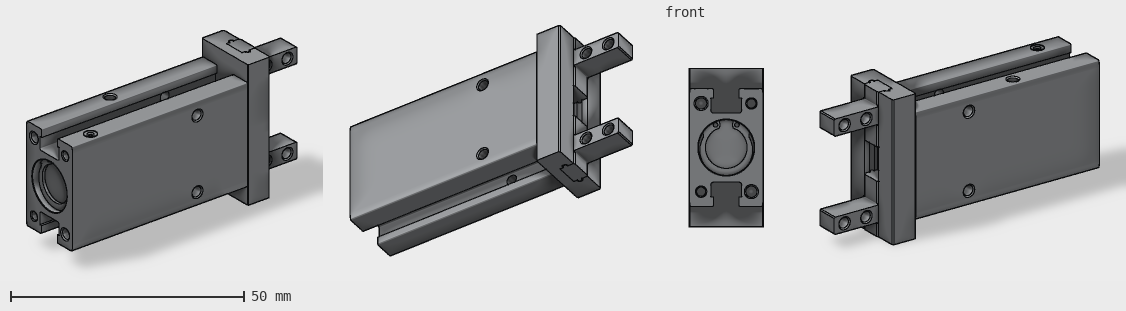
import cadquery as cq
import math

TOTAL_LENGTH = 65.75
BODY_WIDTH = 16.0
GUIDE_HEIGHT = 34.0
HOUSING_LENGTH = 48.1
HOUSING_HEIGHT = 25.3

SIDE_CURVE_START = 11.05
SIDE_CURVE_RADIUS = 4.3
CORNER_RADIUS = 0.4
SLOT_NECK_WIDTH = 5.4
SLOT_WIDTH = 6.6
SLOT_NECK_BOTTOM = 10.65
SLOT_FLOOR = 7.4
SLOT_FLOOR_RADIUS = 0.5

THREAD_MOUTH = 3.0
THREAD_BORE = 2.45
SMALL_MOUTH = 2.45
SMALL_BORE = 2.0
CORNER_HOLE_X = 5.4
CORNER_HOLE_Z = 9.5
CORNER_HOLE_DEPTH = 5.25
SIDE_HOLE_Y = 34.2
SIDE_HOLE_Z = 9.3
PORT_X = 5.4
PORT_Y = 20.9
PORT_DEPTH = 3.95

SCREW_Y = 7.0
SCREW_RECESS = 0.1
SOCKET_MOUTH = 1.6
SOCKET_FLATS = 0.8
SOCKET_CONE_DEPTH = 0.25
SOCKET_DEPTH = 1.3

BORE_MOUTH = 12.2
BORE_DIAMETER = 12.0
BORE_DEPTH = 2.3
RING_THICKNESS = 0.7
RING_INNER_RADIUS = 4.5
RING_RELIEF_RADIUS = 5.65
RING_RELIEF_OFFSET = 0.6
RING_RELIEF_TOP = 2.95
RING_SHOULDER_X = 4.85
RING_GAP = 2.9
LUG_X = 2.3
LUG_Z = 4.85
LUG_RADIUS = 1.0
LUG_HOLE = 1.0

GUIDE_FRONT = 54.1
GUIDE_FRONT_CHAMFER = 0.3
GUIDE_REAR_CHAMFER = 0.2

FINGER_WIDTH = 5.4
FINGER_HEIGHT = 4.1
FINGER_Z = 11.5
CARRIAGE_REAR = 50.65
CARRIAGE_FRONT = 54.3
CARRIAGE_BOTTOM = 4.0
CARRIAGE_BEVEL_X = 0.5
CARRIAGE_BEVEL_Y = CARRIAGE_FRONT - GUIDE_FRONT
TIP_CHAMFER = 0.25
ROOT_FILLET = 0.25
RACE_X = 2.75
RACE_Y = 52.1
RAIL_DIAMETER = 1.0
RACE_DIAMETER = 1.4
FINGER_HOLES_Y = (57.35, 63.05)


def countersunk_hole(start, direction, length, bore, mouth):
    """Drill with a 45 degree countersink at its mouth."""
    origin = cq.Vector(*start)
    axis = cq.Vector(*direction)
    drill = cq.Solid.makeCylinder(bore / 2, length, origin, axis)
    sink_depth = (mouth - bore) / 2
    sink = cq.Solid.makeCone(mouth / 2, bore / 2, sink_depth, origin, axis)
    return drill.fuse(sink)


def through_hole_along_x(y, z, width):
    """Threaded hole right across a width, countersunk at both ends."""
    near = countersunk_hole((-width / 2, y, z), (1, 0, 0), width, THREAD_BORE, THREAD_MOUTH)
    far = countersunk_hole((width / 2, y, z), (-1, 0, 0), width, THREAD_BORE, THREAD_MOUTH)
    return near.fuse(far)


def housing_profile():
    """Extruded profile with a T-slot above and below, mirrored from one quarter."""
    half_width = BODY_WIDTH / 2
    half_height = HOUSING_HEIGHT / 2
    half_neck = SLOT_NECK_WIDTH / 2
    half_slot = SLOT_WIDTH / 2
    curve_top = half_height - CORNER_RADIUS
    curve_rise = curve_top - SIDE_CURVE_START
    curve_inset = SIDE_CURVE_RADIUS - math.sqrt(SIDE_CURVE_RADIUS**2 - curve_rise**2)
    curve_x = half_width - curve_inset
    quarter = (
        cq.Workplane("XZ")
        .lineTo(half_width, 0)
        .lineTo(half_width, SIDE_CURVE_START)
        .radiusArc((curve_x, curve_top), -SIDE_CURVE_RADIUS)
        .radiusArc((curve_x - CORNER_RADIUS, half_height), -CORNER_RADIUS)
        .lineTo(half_neck + CORNER_RADIUS, half_height)
        .radiusArc((half_neck, curve_top), -CORNER_RADIUS)
        .lineTo(half_neck, SLOT_NECK_BOTTOM)
        .lineTo(half_slot, SLOT_NECK_BOTTOM)
        .lineTo(half_slot, SLOT_FLOOR + SLOT_FLOOR_RADIUS)
        .radiusArc((half_slot - SLOT_FLOOR_RADIUS, SLOT_FLOOR), SLOT_FLOOR_RADIUS)
        .lineTo(0, SLOT_FLOOR)
        .close()
        .extrude(-HOUSING_LENGTH)
    )
    half = quarter.union(quarter.mirror("YZ"))
    return half.union(half.mirror("XY")).clean()


def retaining_ring():
    """Internal circlip lying on the bore floor, with two eyed lugs at the top."""
    bore_radius = BORE_DIAMETER / 2
    plane = cq.Workplane("XZ", origin=(0, BORE_DEPTH, 0))
    full_disc = plane.circle(bore_radius).extrude(RING_THICKNESS)
    relieved_disc = plane.center(0, -RING_RELIEF_OFFSET).circle(RING_RELIEF_RADIUS).extrude(RING_THICKNESS)
    upper_block = (
        plane.center(0, RING_RELIEF_TOP + bore_radius)
        .rect(2 * BORE_DIAMETER, 2 * bore_radius)
        .extrude(RING_THICKNESS)
    )
    shoulders = (
        plane.center(0, RING_RELIEF_TOP / 2)
        .rect(2 * RING_SHOULDER_X, RING_RELIEF_TOP)
        .extrude(RING_THICKNESS)
    )
    gap = plane.center(0, bore_radius).rect(RING_GAP, BORE_DIAMETER).extrude(RING_THICKNESS)
    opening = plane.circle(RING_INNER_RADIUS).extrude(RING_THICKNESS)
    lug_centres = [(-LUG_X, LUG_Z), (LUG_X, LUG_Z)]
    lugs = plane.pushPoints(lug_centres).circle(LUG_RADIUS).extrude(RING_THICKNESS)
    eyes = plane.pushPoints(lug_centres).circle(LUG_HOLE / 2).extrude(RING_THICKNESS)
    band = relieved_disc.union(upper_block).union(shoulders).cut(opening).cut(gap)
    return band.union(lugs).cut(eyes).intersect(full_disc)


def plug_screw_cut():
    """Shallow round recess with a countersunk hexagon socket in its middle."""
    top = HOUSING_HEIGHT / 2
    face = top - SCREW_RECESS
    recess = cq.Workplane("XY", origin=(PORT_X, SCREW_Y, face)).circle(THREAD_MOUTH / 2).extrude(SCREW_RECESS)
    socket_corners = SOCKET_FLATS / math.cos(math.pi / 6)
    socket = (
        cq.Workplane("XY", origin=(PORT_X, SCREW_Y, face))
        .polygon(6, socket_corners)
        .extrude(-SOCKET_DEPTH)
    )
    cone = cq.Solid.makeCone(
        SOCKET_MOUTH / 2,
        SOCKET_FLATS / 2,
        SOCKET_CONE_DEPTH,
        cq.Vector(PORT_X, SCREW_Y, face),
        cq.Vector(0, 0, -1),
    )
    return recess.union(socket).union(cq.Workplane(cone))


def make_housing():
    housing = housing_profile()

    bore = countersunk_hole((0, 0, 0), (0, 1, 0), BORE_DEPTH, BORE_DIAMETER, BORE_MOUTH)
    housing = housing.cut(cq.Workplane(bore)).union(retaining_ring())

    for side_x in (-1, 1):
        for side_z in (-1, 1):
            large = side_x != side_z
            drill = THREAD_BORE if large else SMALL_BORE
            mouth = THREAD_MOUTH if large else SMALL_MOUTH
            start = (side_x * CORNER_HOLE_X, 0, side_z * CORNER_HOLE_Z)
            hole = countersunk_hole(start, (0, 1, 0), CORNER_HOLE_DEPTH, drill, mouth)
            housing = housing.cut(cq.Workplane(hole))

    for side_z in (-1, 1):
        hole = through_hole_along_x(SIDE_HOLE_Y, side_z * SIDE_HOLE_Z, BODY_WIDTH)
        housing = housing.cut(cq.Workplane(hole))

    port_start = (-PORT_X, PORT_Y, HOUSING_HEIGHT / 2)
    port = countersunk_hole(port_start, (0, 0, -1), PORT_DEPTH, THREAD_BORE, THREAD_MOUTH)
    return housing.cut(cq.Workplane(port)).cut(plug_screw_cut())


def vertical_rods(diameter, length, bottom):
    """Pair of upright round rods, one on each side of the carriage."""
    return (
        cq.Workplane("XY", origin=(0, RACE_Y, bottom))
        .pushPoints([(-RACE_X, 0), (RACE_X, 0)])
        .circle(diameter / 2)
        .extrude(length)
    )


def box_between(width, y_start, y_end, z_start, z_end):
    """Box centred on X with given Y and Z limits."""
    return (
        cq.Workplane("XY", origin=(0, (y_start + y_end) / 2, z_start))
        .rect(width, y_end - y_start)
        .extrude(z_end - z_start)
    )


def make_guide():
    bottom = -GUIDE_HEIGHT / 2
    top = GUIDE_HEIGHT / 2
    guide = box_between(BODY_WIDTH, HOUSING_LENGTH, GUIDE_FRONT, bottom, top)
    guide = guide.edges("|Z and >Y").chamfer(GUIDE_FRONT_CHAMFER)
    guide = guide.edges("|Z and <Y").chamfer(GUIDE_REAR_CHAMFER)
    slot = box_between(FINGER_WIDTH, CARRIAGE_REAR, GUIDE_FRONT, bottom, top)
    races = vertical_rods(RACE_DIAMETER, GUIDE_HEIGHT, bottom)
    return guide.cut(slot).cut(races)


def make_carriage():
    """Sliding block with bevelled front corners and a round rail on each side."""
    height = GUIDE_HEIGHT / 2 - CARRIAGE_BOTTOM
    half_width = FINGER_WIDTH / 2
    block = (
        cq.Workplane("XY", origin=(0, 0, CARRIAGE_BOTTOM))
        .moveTo(-half_width, CARRIAGE_REAR)
        .lineTo(half_width, CARRIAGE_REAR)
        .lineTo(half_width, CARRIAGE_FRONT - CARRIAGE_BEVEL_Y)
        .lineTo(half_width - CARRIAGE_BEVEL_X, CARRIAGE_FRONT)
        .lineTo(CARRIAGE_BEVEL_X - half_width, CARRIAGE_FRONT)
        .lineTo(-half_width, CARRIAGE_FRONT - CARRIAGE_BEVEL_Y)
        .close()
        .extrude(height)
    )
    return block.union(vertical_rods(RAIL_DIAMETER, height, CARRIAGE_BOTTOM))


def make_bar():
    """Gripping bar with chamfered tip edges and flared root."""
    bar_bottom = FINGER_Z - FINGER_HEIGHT / 2
    bar_top = FINGER_Z + FINGER_HEIGHT / 2
    bar = box_between(FINGER_WIDTH, CARRIAGE_REAR, TOTAL_LENGTH, bar_bottom, bar_top)
    bar = bar.edges("|X and >Y").chamfer(TIP_CHAMFER)
    root_end = CARRIAGE_FRONT + ROOT_FILLET
    flare = box_between(
        FINGER_WIDTH, CARRIAGE_REAR, root_end, bar_bottom - ROOT_FILLET, bar_top + ROOT_FILLET
    )
    hollows = (
        cq.Workplane("YZ", origin=(-FINGER_WIDTH / 2, 0, 0))
        .pushPoints([(root_end, bar_bottom - ROOT_FILLET), (root_end, bar_top + ROOT_FILLET)])
        .circle(ROOT_FILLET)
        .extrude(FINGER_WIDTH)
    )
    return bar.union(flare.cut(hollows))


def make_finger(side):
    """Finger with its carriage, above the axis for side 1 and below it for -1."""
    finger = make_carriage().union(make_bar())
    for y in FINGER_HOLES_Y:
        finger = finger.cut(cq.Workplane(through_hole_along_x(y, FINGER_Z, FINGER_WIDTH)))
    return finger if side > 0 else finger.mirror("XY")


housing = make_housing()
guide = make_guide()
fingers = [make_finger(side) for side in (1, -1)]

result = cq.Compound.makeCompound([housing.val(), guide.val(), *[finger.val() for finger in fingers]])